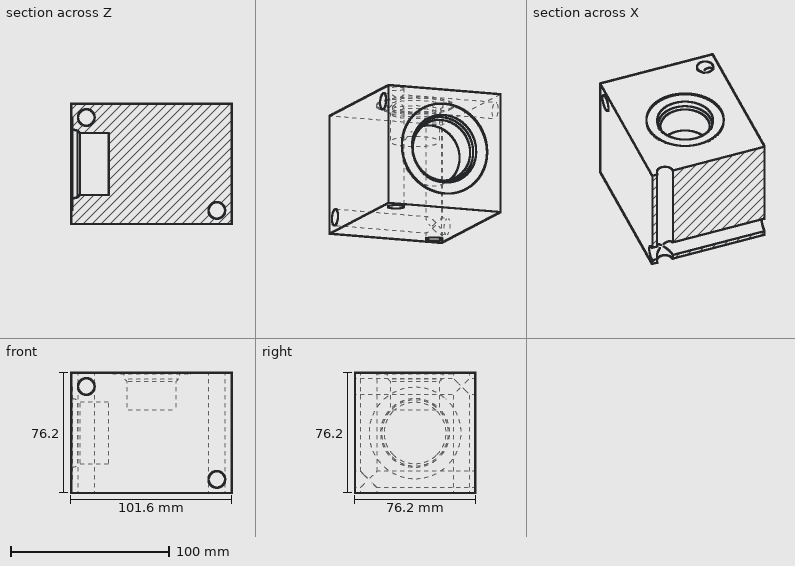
import cadquery as cq

length = 101.6
width = 76.2
height = 76.2

mount_diameter = 10.4
mount_end_offset = 9.5
mount_side_offset = 8.7

spotface_depth = 0.8
seal_taper_depth = 3.3
seal_ledge_depth = 1.5
port_depth = 23.7


def port_cutter(spotface_diameter, mouth_diameter, ledge_diameter, bore_diameter):
    """Port opening at the origin and running down -Z: spotface, tapered seal seat, ledge and blind bore."""
    taper_start = -spotface_depth
    ledge_start = taper_start - seal_taper_depth
    bore_start = ledge_start - seal_ledge_depth
    profile = [
        (0, 0),
        (spotface_diameter / 2, 0),
        (spotface_diameter / 2, taper_start),
        (mouth_diameter / 2, taper_start),
        (ledge_diameter / 2, ledge_start),
        (bore_diameter / 2, bore_start),
        (bore_diameter / 2, -port_depth),
        (0, -port_depth),
    ]
    return cq.Workplane("XZ").polyline(profile).close().revolve(360, (0, 0, 0), (0, 1, 0))


def mounting_holes(plane, across):
    """Two through holes along the normal of a plane, for a face that is `across` tall."""
    x = length / 2 - mount_end_offset
    v = across / 2 - mount_side_offset
    through = max(width, height)
    return (
        cq.Workplane(plane)
        .pushPoints([(-x, v), (x, -v)])
        .circle(mount_diameter / 2)
        .extrude(through, both=True)
    )


top_port = port_cutter(
    spotface_diameter=49.0,
    mouth_diameter=35.5,
    ledge_diameter=33.9,
    bore_diameter=31.1,
).translate((0, 0, height / 2))

end_port = (
    port_cutter(
        spotface_diameter=58.0,
        mouth_diameter=43.6,
        ledge_diameter=42.0,
        bore_diameter=39.0,
    )
    .rotate((0, 0, 0), (0, 1, 0), -90)
    .translate((-length / 2, 0, 0))
)

result = (
    cq.Workplane("XY")
    .box(length, width, height)
    .cut(mounting_holes("XZ", height))
    .cut(mounting_holes("XY", width))
    .cut(top_port)
    .cut(end_port)
)